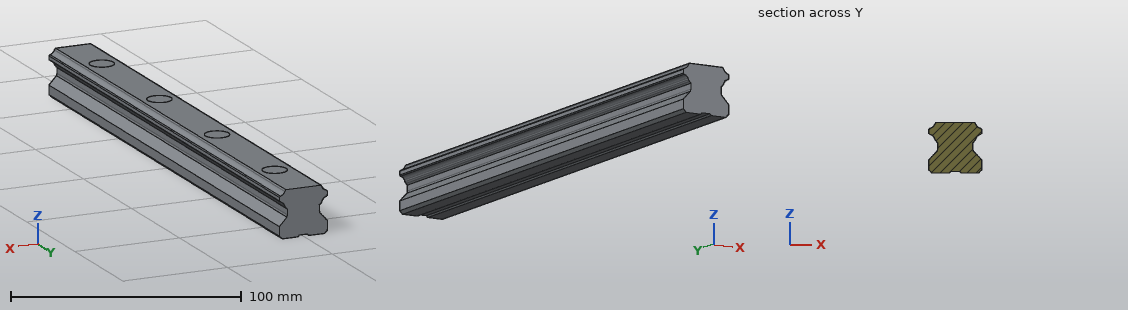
import cadquery as cq

length = 240.0
width = 23.0
height = 22.0
half_width = width / 2

top_half_width = 8.5
top_edge_width = 0.5
top_edge_drop = 0.7
groove_radius = 3.0
nose_top = 19.0
nose_bottom = 17.3
nose_chamfer = 0.5
lower_groove_half_width = 9.0
lower_groove_end = 15.4

waist_half_width = 7.7
waist_top = 13.2
waist_bottom = 10.5
waist_step = 0.7
ledge_half_width = 8.0
ledge_top = 9.5
neck_half_width = 9.0
neck_bottom = 14.6

foot_top = 5.8
foot_chamfer = 1.5
relief_half_width = 2.0
relief_depth = 0.7

hole_count = 4
hole_pitch = length / hole_count
cap_diameter = 11.0
cap_recess = 0.12


def half_rail():
    """The +X half of the rail, centred along Y and standing on Z = 0."""
    nose_edge = half_width - nose_chamfer
    step_edge = waist_half_width + waist_step
    outline = (
        cq.Workplane("XZ", origin=(0, length / 2, 0))
        .moveTo(0, height)
        .lineTo(top_half_width, height)
        .lineTo(top_half_width + top_edge_width, height - top_edge_drop)
        .radiusArc((nose_edge, nose_top + nose_chamfer), -groove_radius)
        .lineTo(half_width, nose_top)
        .lineTo(half_width, nose_bottom)
        .lineTo(nose_edge, nose_bottom - nose_chamfer)
        .radiusArc((lower_groove_half_width, lower_groove_end), -groove_radius)
        .lineTo(neck_half_width, neck_bottom)
        .lineTo(step_edge, waist_top + waist_step)
        .lineTo(waist_half_width, waist_top)
        .lineTo(waist_half_width, waist_bottom)
        .lineTo(ledge_half_width, ledge_top)
        .lineTo(half_width, foot_top)
        .lineTo(half_width, foot_chamfer)
        .lineTo(half_width - foot_chamfer, 0)
        .lineTo(relief_half_width + relief_depth, 0)
        .lineTo(relief_half_width, relief_depth)
        .lineTo(0, relief_depth)
        .close()
    )
    return outline.extrude(length)


def cap_recesses():
    """Shallow round cutters that set the hole caps just below the top face."""
    centres = [(0, (i - (hole_count - 1) / 2) * hole_pitch) for i in range(hole_count)]
    top_plane = cq.Workplane("XY", origin=(0, 0, height))
    return top_plane.pushPoints(centres).circle(cap_diameter / 2).extrude(-cap_recess)


right_half = half_rail()
rail = right_half.union(right_half.mirror("YZ")).clean()
result = rail.cut(cap_recesses())